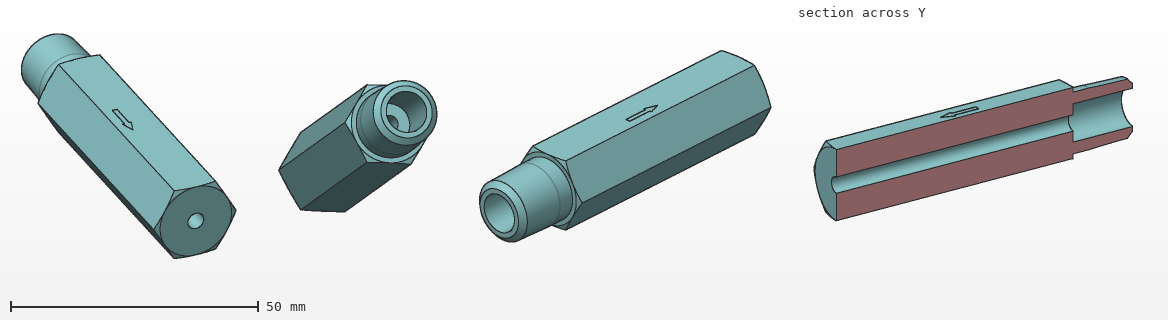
import cadquery as cq
import math

total_length = 70.6
across_flats = 15.9
across_corners = across_flats / math.cos(math.radians(30))
left_end = -total_length / 2

body_length = 56.4
body_chamfer_angle = 20.0

spigot_length = total_length - body_length
neck_diameter = 13.85
neck_length = 3.7
nose_chamfer_length = 1.2
nose_diameter = 10.65
taper_length = spigot_length - neck_length - nose_chamfer_length
taper_small_diameter = neck_diameter - taper_length / 16

port_diameter = 8.4
port_depth = spigot_length
passage_diameter = 3.5

arrow_tail_x = 0.5
arrow_length = 8.75
arrow_head_length = 3.0
arrow_shaft_width = 1.05
arrow_head_width = 2.0
arrow_center_y = -1.9
arrow_depth = 0.1


def rod(diameter, start_x, length):
    """Cylinder along +X."""
    return cq.Workplane("YZ", origin=(start_x, 0, 0)).circle(diameter / 2).extrude(length)


def make_body():
    """Hexagonal bar with flats at top and bottom, its corners turned off at both ends."""
    start = left_end + spigot_length
    end = start + body_length
    bar = cq.Workplane("YZ", origin=(start, 0, 0)).polygon(6, across_corners).extrude(body_length)

    face_radius = across_flats / 2
    corner_radius = across_corners / 2
    chamfer_length = (corner_radius - face_radius) * math.tan(math.radians(body_chamfer_angle))
    turned_envelope = (
        cq.Workplane("XY")
        .moveTo(start, 0)
        .lineTo(start, face_radius)
        .lineTo(start + chamfer_length, corner_radius)
        .lineTo(end - chamfer_length, corner_radius)
        .lineTo(end, face_radius)
        .lineTo(end, 0)
        .close()
        .revolve(360, (0, 0, 0), (1, 0, 0))
    )
    return bar.intersect(turned_envelope)


def make_spigot():
    """Turned male end, from the chamfered nose to the hexagon."""
    taper_start = left_end + nose_chamfer_length
    taper_end = taper_start + taper_length
    shoulder = left_end + spigot_length
    return (
        cq.Workplane("XY")
        .moveTo(left_end, 0)
        .lineTo(left_end, nose_diameter / 2)
        .lineTo(taper_start, taper_small_diameter / 2)
        .lineTo(taper_end, neck_diameter / 2)
        .lineTo(shoulder, neck_diameter / 2)
        .lineTo(shoulder, 0)
        .close()
        .revolve(360, (0, 0, 0), (1, 0, 0))
    )


def make_flow_arrow():
    """Arrow pointing along +X, reaching down from the top flat."""
    tip_x = arrow_tail_x + arrow_length
    head_x = tip_x - arrow_head_length
    half_shaft = arrow_shaft_width / 2
    half_head = arrow_head_width / 2
    return (
        cq.Workplane("XY", origin=(0, arrow_center_y, across_flats / 2))
        .moveTo(arrow_tail_x, -half_shaft)
        .lineTo(head_x, -half_shaft)
        .lineTo(head_x, -half_head)
        .lineTo(tip_x, 0)
        .lineTo(head_x, half_head)
        .lineTo(head_x, half_shaft)
        .lineTo(arrow_tail_x, half_shaft)
        .close()
        .extrude(-arrow_depth)
    )


port = rod(port_diameter, left_end, port_depth)
passage = rod(passage_diameter, left_end, total_length)

result = make_body().union(make_spigot()).cut(port).cut(passage).cut(make_flow_arrow())